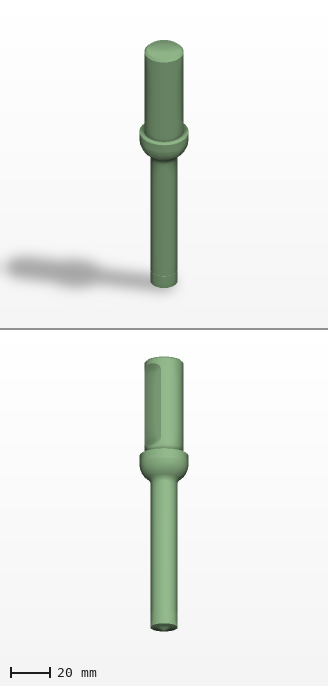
import cadquery as cq
import math

TOTAL_LENGTH = 144
SHANK_LENGTH = 50.0
COLLAR_TOP = TOTAL_LENGTH - SHANK_LENGTH
COLLAR_RIM_HEIGHT = 5.0
NECK_HEIGHT = 10.7
HEAD_TOP = 9.2
HEAD_SHOULDER = 2.0
POINT_HEIGHT = 1.6

SHANK_RADIUS = 20.0 / 2
COLLAR_RADIUS = 25.0 / 2
STEM_RADIUS = 13.7 / 2
HEAD_RADIUS = 14.0 / 2
POINT_RADIUS = 6.5 / 2

SHANK_CHAMFER = 1.2
COLLAR_CHAMFER = 0.5
COLLAR_ROUND_RADIUS = 9.0

FLAT_DEPTH = 2.0
FLAT_TOP = 140.7
FLAT_BOTTOM = 96.9
FLAT_END_RADIUS = 5.0


def make_holder():
    """Revolve the shank, the collar with its S-shaped neck, and the stem."""
    rim_bottom = COLLAR_TOP - COLLAR_RIM_HEIGHT
    neck_bottom = rim_bottom - NECK_HEIGHT

    radius_drop = COLLAR_RADIUS - STEM_RADIUS
    turn = 2 * math.atan2(radius_drop, NECK_HEIGHT)
    neck_fillet_radius = NECK_HEIGHT / math.sin(turn) - COLLAR_ROUND_RADIUS

    def round_point(angle):
        """Point on the convex arc below the collar rim."""
        x = COLLAR_RADIUS - COLLAR_ROUND_RADIUS * (1 - math.cos(angle))
        return x, rim_bottom - COLLAR_ROUND_RADIUS * math.sin(angle)

    def fillet_point(angle):
        """Point on the concave arc above the stem."""
        x = STEM_RADIUS + neck_fillet_radius * (1 - math.cos(angle))
        return x, neck_bottom + neck_fillet_radius * math.sin(angle)

    return (
        cq.Workplane("XZ")
        .moveTo(0, HEAD_TOP)
        .lineTo(STEM_RADIUS, HEAD_TOP)
        .lineTo(STEM_RADIUS, neck_bottom)
        .threePointArc(fillet_point(turn / 2), round_point(turn))
        .threePointArc(round_point(turn / 2), (COLLAR_RADIUS, rim_bottom))
        .lineTo(COLLAR_RADIUS, COLLAR_TOP - COLLAR_CHAMFER)
        .lineTo(COLLAR_RADIUS - COLLAR_CHAMFER, COLLAR_TOP)
        .lineTo(SHANK_RADIUS, COLLAR_TOP)
        .lineTo(SHANK_RADIUS, TOTAL_LENGTH - SHANK_CHAMFER)
        .lineTo(SHANK_RADIUS - SHANK_CHAMFER, TOTAL_LENGTH)
        .lineTo(0, TOTAL_LENGTH)
        .close()
        .revolve(360, (0, 0, 0), (0, 1, 0))
    )


def make_flat_cutter():
    """Block that leaves a flat with a concave round at each end."""
    flat_y = SHANK_RADIUS - FLAT_DEPTH
    end_run = math.sqrt(FLAT_END_RADIUS**2 - (FLAT_END_RADIUS - FLAT_DEPTH) ** 2)
    cut_length = FLAT_TOP - FLAT_BOTTOM + 2 * (FLAT_END_RADIUS - end_run)
    return (
        cq.Workplane("XY")
        .box(2 * SHANK_RADIUS, 2 * FLAT_END_RADIUS, cut_length)
        .edges("<Y and |X")
        .fillet(FLAT_END_RADIUS)
        .translate((0, flat_y + FLAT_END_RADIUS, (FLAT_TOP + FLAT_BOTTOM) / 2))
    )


def make_drill_head():
    """Revolve the cutting head with its shallow end cone and steeper point."""
    return (
        cq.Workplane("XZ")
        .polyline([
            (0, 0),
            (POINT_RADIUS, POINT_HEIGHT),
            (HEAD_RADIUS, HEAD_SHOULDER),
            (HEAD_RADIUS, HEAD_TOP),
            (0, HEAD_TOP),
        ])
        .close()
        .revolve(360, (0, 0, 0), (0, 1, 0))
    )


holder = make_holder().cut(make_flat_cutter())
drill_head = make_drill_head()

result = cq.Compound.makeCompound([holder.val(), drill_head.val()])